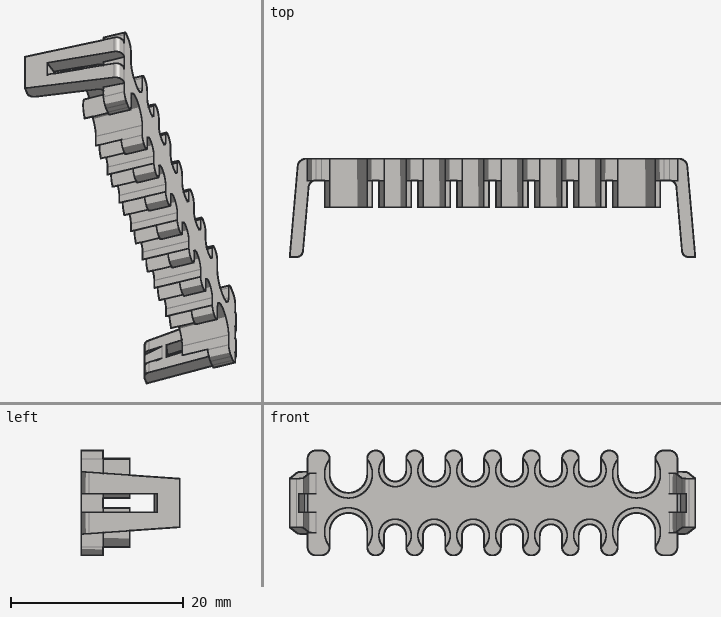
import cadquery as cq
import math


length = 46.95
height = 12.15
depth = 11.4

plate_thickness = 2.55
seat_depth = 5.65
finger_pitch = 4.5
finger_width = 1.95
fingers_each_side = 3
end_finger_width = 2.6
finger_radius = finger_width / 2

seat_wall = 0.6
small_radius = (finger_pitch - finger_width) / 2
small_z = 3.75
large_radius = 2.15
large_z = 3.35
small_seat_count = 2 * fingers_each_side
large_x = fingers_each_side * finger_pitch + finger_radius + large_radius
plate_half_length = large_x + large_radius + end_finger_width

leg_thickness = 1.5
leg_splay = math.tan(math.radians(5))
leg_root_half_height = 3.6
leg_tip_half_height = 2.8
leg_overlap = 1.4
outer_bend_radius = 1.0
inner_bend_radius = 0.8
tip_radius = 0.8

window_height = 2.1
window_end_outer = 8.8
window_end_inner = 8.45
ramp_start = 9.05
ramp_slope = math.tan(math.radians(15.5))


def leg_outer_x(y):
    """X of the outer face of the +X leg at a given Y."""
    return length / 2 - (depth + y) * leg_splay


def leg_inner_x(y):
    """X of the inner face of the +X leg at a given Y."""
    return leg_outer_x(y) - leg_thickness


def front_plane():
    """Sketch plane at the plate back; extrusions run toward -Y."""
    return cq.Workplane("XZ")


def make_plate():
    """Central web with rounded fingers reaching both long edges."""
    plate = front_plane().rect(2 * plate_half_length, 2 * small_z).extrude(plate_thickness)
    finger_places = [
        (i * finger_pitch, 0) for i in range(-fingers_each_side, fingers_each_side + 1)
    ]
    fingers = (
        front_plane()
        .pushPoints(finger_places)
        .slot2D(height, finger_width, 90)
        .extrude(plate_thickness)
    )
    end_x = plate_half_length - end_finger_width / 2
    end_fingers = (
        front_plane()
        .pushPoints([(-end_x, 0), (end_x, 0)])
        .rect(end_finger_width, height)
        .extrude(plate_thickness)
        .edges("|Y")
        .fillet(finger_radius)
    )
    return plate.union(fingers).union(end_fingers)


def seat_list():
    """(x, z, radius) of every seat on both long edges."""
    seats = []
    for side in (-1, 1):
        for i in range(small_seat_count):
            x = (i - (small_seat_count - 1) / 2) * finger_pitch
            seats.append((x, side * small_z, small_radius))
        for end in (-1, 1):
            seats.append((end * large_x, side * large_z, large_radius))
    return seats


def seat_tube(x, z, radius):
    """Wall around a seat, before its bore is opened."""
    return front_plane().center(x, z).circle(radius + seat_wall).extrude(seat_depth)


def seat_opening(x, z, radius):
    """Bore of a seat and the throat that opens it to the plate edge."""
    bore = front_plane().center(x, z).circle(radius).extrude(seat_depth)
    throat_middle = z + math.copysign(height / 2, z)
    throat = front_plane().center(x, throat_middle).rect(2 * radius, height).extrude(seat_depth)
    return bore.union(throat)


def make_leg():
    """Snap leg at the +X end."""
    outer_corner = (leg_outer_x(0), 0)
    inner_corner = (leg_inner_x(-plate_thickness), -plate_thickness)
    tip_corner = (leg_inner_x(-depth), -depth)
    foot_x = plate_half_length - leg_overlap
    leg = (
        cq.Workplane("XY")
        .polyline([
            (foot_x, 0),
            outer_corner,
            (length / 2, -depth),
            tip_corner,
            inner_corner,
            (foot_x, -plate_thickness),
        ])
        .close()
        .extrude(leg_root_half_height, both=True)
    )
    bends = (
        (outer_corner, outer_bend_radius),
        (inner_corner, inner_bend_radius),
        (tip_corner, tip_radius),
    )
    for corner, radius in bends:
        leg = leg.edges(cq.NearestToPointSelector((*corner, 0))).fillet(radius)

    taper = (
        cq.Workplane("YZ")
        .polyline([
            (0, leg_root_half_height),
            (-depth, leg_tip_half_height),
            (-depth, -leg_tip_half_height),
            (0, -leg_root_half_height),
        ])
        .close()
        .extrude(length)
    )
    window = (
        cq.Workplane("XY")
        .polyline([
            (plate_half_length, 0),
            (plate_half_length, -plate_thickness),
            (foot_x, -plate_thickness),
            (leg_inner_x(-window_end_inner), -window_end_inner),
            (leg_outer_x(-window_end_outer), -window_end_outer),
            (length / 2, -window_end_outer),
            (length / 2, 0),
        ])
        .close()
        .extrude(window_height / 2, both=True)
    )
    ramp_top_x = leg_inner_x(-ramp_start)
    ramp_bottom_x = ramp_top_x + (depth - ramp_start) * ramp_slope
    ramp = (
        cq.Workplane("XY")
        .polyline([(ramp_top_x, -ramp_start), (ramp_bottom_x, -depth), (foot_x, -depth)])
        .close()
        .extrude(window_height / 2, both=True)
    )
    return leg.intersect(taper).cut(window).cut(ramp)


comb = make_plate()
for seat in seat_list():
    comb = comb.union(seat_tube(*seat))
for seat in seat_list():
    comb = comb.cut(seat_opening(*seat))

right_leg = make_leg()
left_leg = right_leg.mirror("YZ")
result = comb.union(right_leg).union(left_leg)